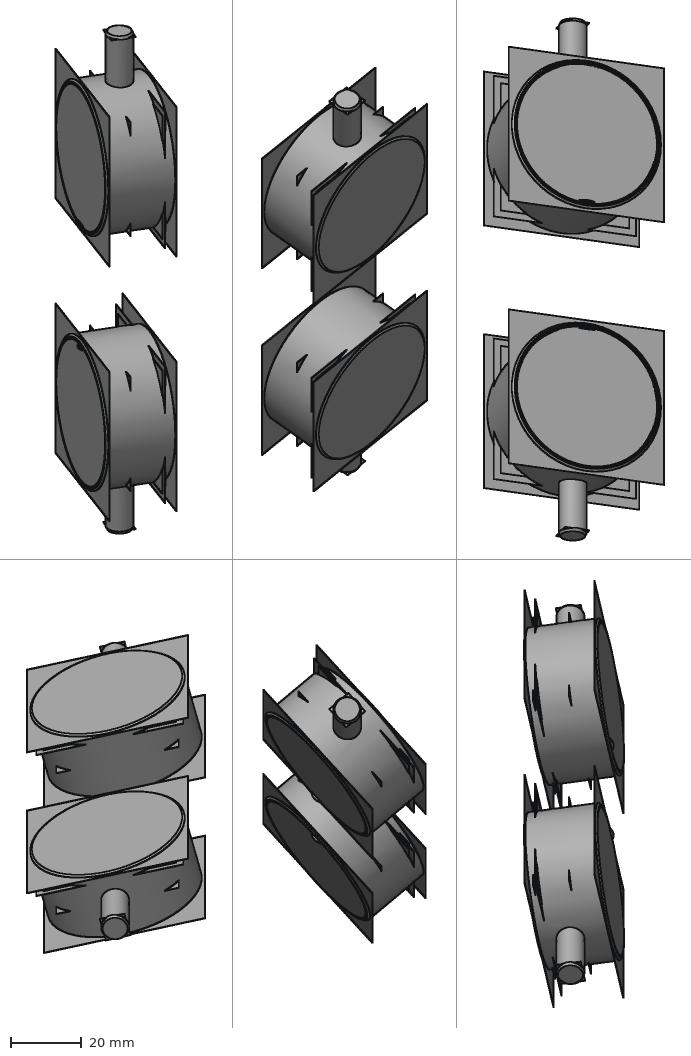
import cadquery as cq

overall_height = 156.0
gauge_spacing = 79.9
centre_z = gauge_spacing / 2

drum_radius = 22.5
drum_depth = 21.0
rim_chamfer_depth = 0.5
rim_chamfer_width = 0.6

window_radius = 21.0
window_gap = 0.3
window_thickness = 1.0

sheet_thickness = 0.2
flange_side = 46.8
flange_inset = rim_chamfer_depth
divider_side = 42.7
divider_from_back = 3.1
divider_step_side = 38.7
carrier_side = 35.5
rear_carrier_from_back = 1.9
middle_carrier_from_back = 12.2

tab_radius = 3.7
tab_reach = 0.8
tab_offset = 20.6

stem_diameter = 8.0
stem_radius = stem_diameter / 2
stem_from_back = 9.5
stem_seat = 19.5
stem_chamfer_length = 1.0
stem_chamfer_width = 0.5
stem_sheet_side = 7.2

back_y = (drum_depth + tab_reach) / 2
front_y = back_y - drum_depth
stem_y = back_y - stem_from_back
stem_end = overall_height / 2 - centre_z


def disc_along_y(radius, y_back, depth):
    """Disc on the gauge axis running from y_back toward the front."""
    return cq.Workplane("XZ", origin=(0, y_back, 0)).circle(radius).extrude(depth)


def square_sheet(side, y_back):
    """Thin square sheet across the gauge axis."""
    return cq.Workplane("XZ", origin=(0, y_back, 0)).rect(side, side).extrude(sheet_thickness)


def make_drum():
    """Round drum with both rims chamfered."""
    drum = disc_along_y(drum_radius, back_y, drum_depth)
    return drum.faces("<Y or >Y").chamfer(rim_chamfer_depth, rim_chamfer_width)


def make_tab():
    """Thin segment of a horizontal disc, standing out of the front face."""
    disc = (
        cq.Workplane("XY", origin=(0, front_y - tab_reach + tab_radius, -tab_offset))
        .circle(tab_radius)
        .extrude(sheet_thickness)
    )
    in_front = (
        cq.Workplane("XZ", origin=(0, front_y, 0))
        .rect(drum_radius * 2, drum_radius * 2)
        .extrude(tab_reach)
    )
    return disc.intersect(in_front)


def make_stem_hole():
    """Blind round hole that holds the stem."""
    return (
        cq.Workplane("XY", origin=(0, stem_y, stem_seat))
        .circle(stem_radius)
        .extrude(drum_radius)
    )


def make_housing():
    """Drum with its sheets, window recess and stem hole."""
    housing = make_drum()
    sheets = [
        (flange_side, flange_inset),
        (carrier_side, rear_carrier_from_back),
        (divider_side, divider_from_back),
        (divider_step_side, divider_from_back + sheet_thickness),
        (carrier_side, middle_carrier_from_back),
        (flange_side, drum_depth - flange_inset - sheet_thickness),
    ]
    for side, from_back in sheets:
        housing = housing.union(square_sheet(side, back_y - from_back))
    recess = disc_along_y(window_radius + window_gap, front_y + window_thickness, window_thickness)
    return housing.cut(recess).cut(make_stem_hole())


def make_window():
    """Window disc with its tab."""
    disc = disc_along_y(window_radius, front_y + window_thickness, window_thickness)
    return disc.union(make_tab())


def make_stem():
    """Round stem with a chamfered end and a thin square sheet below the chamfer."""
    stem = (
        cq.Workplane("XY", origin=(0, stem_y, stem_seat))
        .circle(stem_radius)
        .extrude(stem_end - stem_seat)
        .faces(">Z")
        .chamfer(stem_chamfer_length, stem_chamfer_width)
    )
    sheet = (
        cq.Workplane("XY", origin=(0, stem_y, stem_end - stem_chamfer_length))
        .rect(stem_sheet_side, stem_sheet_side)
        .extrude(sheet_thickness)
    )
    return stem.union(sheet)


bodies = []
for make_body in (make_housing, make_window, make_stem):
    upper = make_body().translate((0, 0, centre_z))
    lower = upper.mirror("XY")
    bodies += [upper.val(), lower.val()]

result = cq.Compound.makeCompound(bodies)